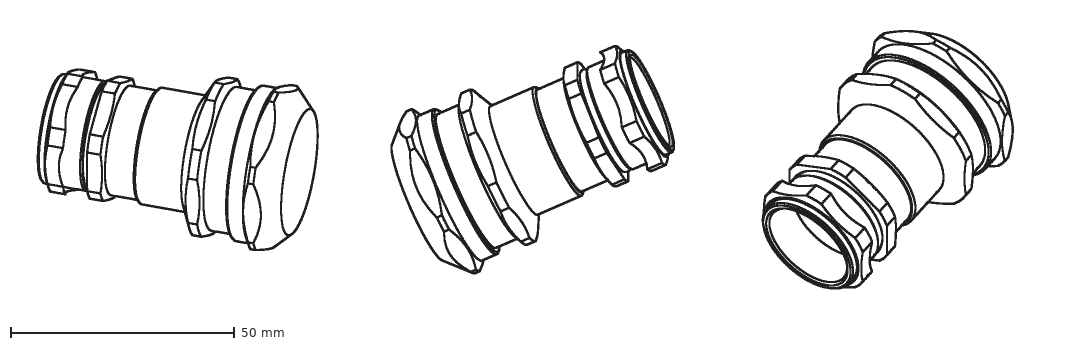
import cadquery as cq

total_length = 57.6

bore_diameter = 21.5
bore_depth = 9.6
bore_chamfer = 0.5

thread_diameter = 25.0
thread_end = 10.4
thread_chamfer = 0.4
body_start = 22.65
body_diameter = 26.6
body_chamfer = 0.5
shoulder_start = 33.9
neck_diameter = 32.8
collar_start = 45.6
collar_diameter = 35.5
collar_chamfer = 0.4

ring_tube_radius = 0.9
ring_center_x = thread_end + ring_tube_radius
ring_crest_radius = thread_diameter / 2

small_nut_flats = 26.95
small_nut_corners = 29.05
lock_nut_start = 1.85
lock_nut_rim_diameter = 25.9
lock_nut_chamfer_end = 2.7
lock_nut_end = 6.35
lock_nut_dish_depth = 1.9
stop_nut_start = 12.0
stop_nut_chamfer_start = 15.1
stop_nut_end = 15.85

middle_hex_flats = 34.9
middle_hex_corners = 37.05
middle_hex_start = 36.75
middle_hex_end = 38.9
neck_start = 40.05

gland_nut_flats = 36.0
gland_nut_corners = 39.6
gland_nut_start = 49.65
gland_nut_chamfer_end = 50.9
gland_nut_nose_start = 52.2
gland_nut_nose_diameter = gland_nut_corners - 2 * (total_length - gland_nut_nose_start)


def revolve_profile(points):
    """Revolve (x, radius) points about the X axis."""
    return cq.Workplane("XY").polyline(points).close().revolve(360, (0, 0, 0), (1, 0, 0))


def section(start, end, diameter, front_chamfer=0.0, rear_chamfer=0.0):
    """Solid cylinder along X with optional end chamfers."""
    radius = diameter / 2
    cylinder = cq.Workplane("YZ", origin=(start, 0, 0)).circle(radius).extrude(end - start)
    if front_chamfer:
        cylinder = cylinder.faces("<X").chamfer(front_chamfer)
    if rear_chamfer:
        cylinder = cylinder.faces(">X").chamfer(rear_chamfer)
    return cylinder


def hexagon(outline, flats):
    """Trim a turned (x, radius) outline to a hexagon with flats facing +Y and -Y."""
    blank = revolve_profile(outline)
    bounds = blank.val().BoundingBox()
    prism = (
        cq.Workplane("YZ", origin=(bounds.xmin, 0, 0))
        .polygon(6, flats, circumscribed=True)
        .extrude(bounds.xlen)
    )
    return blank.intersect(prism)


def sealing_ring():
    """Disc whose rim is a half-round bead."""
    tube_center_radius = ring_crest_radius - ring_tube_radius
    ring_end = ring_center_x + ring_tube_radius
    return (
        cq.Workplane("XY")
        .moveTo(thread_end, 0)
        .lineTo(thread_end, tube_center_radius)
        .threePointArc((ring_center_x, ring_crest_radius), (ring_end, tube_center_radius))
        .lineTo(ring_end, 0)
        .close()
        .revolve(360, (0, 0, 0), (1, 0, 0))
    )


lock_nut = hexagon(
    [
        (lock_nut_start, 0),
        (lock_nut_start, lock_nut_rim_diameter / 2),
        (lock_nut_chamfer_end, small_nut_corners / 2),
        (lock_nut_end, small_nut_corners / 2),
        (lock_nut_end - lock_nut_dish_depth, thread_diameter / 2),
        (lock_nut_end - lock_nut_dish_depth, 0),
    ],
    small_nut_flats,
)

stop_nut = hexagon(
    [
        (stop_nut_start, 0),
        (stop_nut_start, small_nut_corners / 2),
        (stop_nut_chamfer_start, small_nut_corners / 2),
        (stop_nut_end, thread_diameter / 2),
        (stop_nut_end, 0),
    ],
    small_nut_flats,
)

middle_hex = hexagon(
    [
        (shoulder_start, 0),
        (shoulder_start, body_diameter / 2),
        (middle_hex_start, middle_hex_corners / 2),
        (middle_hex_end, middle_hex_corners / 2),
        (neck_start, neck_diameter / 2),
        (neck_start, 0),
    ],
    middle_hex_flats,
)

gland_nut = hexagon(
    [
        (gland_nut_start, 0),
        (gland_nut_start, collar_diameter / 2),
        (gland_nut_chamfer_end, gland_nut_corners / 2),
        (gland_nut_nose_start, gland_nut_corners / 2),
        (total_length, gland_nut_nose_diameter / 2),
        (total_length, 0),
    ],
    gland_nut_flats,
)

result = section(0, thread_end, thread_diameter, thread_chamfer, thread_chamfer)
for piece in (
    lock_nut,
    sealing_ring(),
    stop_nut,
    section(stop_nut_end, body_start, thread_diameter),
    section(body_start, shoulder_start, body_diameter, front_chamfer=body_chamfer),
    middle_hex,
    section(neck_start, collar_start, neck_diameter),
    section(collar_start, gland_nut_start, collar_diameter, front_chamfer=collar_chamfer),
    gland_nut,
):
    result = result.union(piece)

bore_radius = bore_diameter / 2
bore = revolve_profile(
    [
        (0, 0),
        (0, bore_radius + bore_chamfer),
        (bore_chamfer, bore_radius),
        (bore_depth, bore_radius),
        (bore_depth, 0),
    ]
)
result = result.cut(bore)